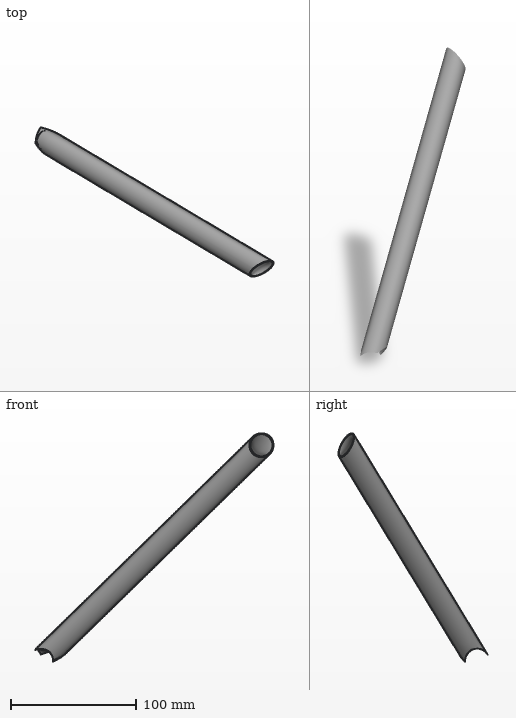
import cadquery as cq

outer_radius = 9.7
wall = 1.0
inner_radius = outer_radius - wall

upper_node = cq.Vector(176.5, -104.8, 172.5)
tube_direction = upper_node.normalized()
mating_direction = cq.Vector(0, -1, 0)
end_allowance = 4 * outer_radius
cutter_length = 10 * outer_radius


def make_tube():
    """Straight tube along the axis, overlong at the upper end for trimming."""
    plane = cq.Plane(origin=(0, 0, 0), normal=tube_direction.toTuple())
    length = upper_node.Length + end_allowance
    return cq.Workplane(plane).circle(outer_radius).circle(inner_radius).extrude(length)


def mitre_cutter():
    """Block beyond the plane bisecting this tube and an equal one along -Y."""
    bisector_normal = tube_direction + mating_direction
    plane = cq.Plane(origin=upper_node.toTuple(), normal=bisector_normal.toTuple())
    return cq.Workplane(plane).rect(cutter_length, cutter_length).extrude(cutter_length)


def node_cutter():
    """Envelope of the equal tee at the lower node: a run along X and a branch along -Y."""
    run = cq.Workplane("YZ").circle(outer_radius).extrude(cutter_length, both=True)
    branch = cq.Workplane("XZ").circle(outer_radius).extrude(cutter_length)
    return run.union(branch)


result = make_tube().cut(mitre_cutter()).cut(node_cutter())